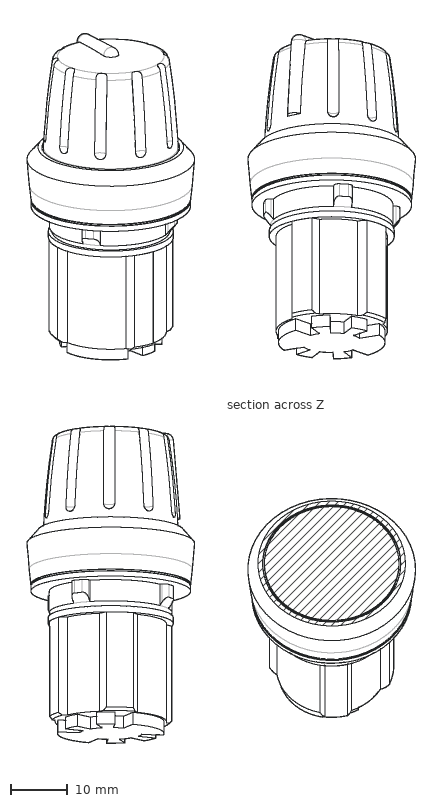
import cadquery as cq
import math

body_bottom_z = 2.13
flange_bottom_z = 19.65
flange_top_z = 20.75
collar_bottom_z = 21.65
ring_bottom_z = 25.45
ring_groove_bottom_z = 26.4
ring_groove_top_z = 26.7
ring_taper_change_z = 29.4
ring_rim_z = 34.06
ring_top_z = 36.3
groove_end_z = 38.95
knob_flank_mid_z = 45.5
knob_shoulder_z = 52.2
knob_edge_z = 53.15
knob_crown_z = 53.45
overall_height = 54.8

ring_base_r = 14.05
ring_taper_change_r = 14.35
ring_rim_r = 14.745
ring_top_r = 12.8
ring_groove_depth = 0.15
ring_bore_r = 12.1
ring_gap_depth = 0.5
knob_base_r = 11.85
knob_flank_mid_r = 11.17
knob_shoulder_r = 10.3
knob_edge_r = 9.35

collar_r = 10.8
collar_neck_r = 10.35
flange_r = 11.0
body_r = 9.8
rib_r = 10.95

grip_positions = 10
pointer_angle = 135.0
groove_r = 1.0
groove_axis_end_r = 11.7
groove_axis_shoulder_r = 10.45

pointer_r = 1.4
pointer_elbow_r = 10.05
pointer_elbow_z = 52.85
pointer_foot_r = 11.25

key_count = 4
key_tip_r = 12.0
key_width = 3.24
key_edge_r = 0.86
key_bevel_height = 1.5

rib_chamfer = 0.52
wide_rib = (37.0, 12.7, 20.0)
narrow_rib = (-39.3, 10.4, 16.5)

foot_front_r = 9.37
foot_side_r = 9.0
foot_core_r = 5.5
side_gap_half_angle = 12.3
side_segment_end_angle = 33.4
front_segment_start_angle = 52.8

half_turn = 180.0
full_turn = 2 * half_turn

overlap = 0.5


def polar(radius, angle):
    """Point in the XY plane at a radius and an angle in degrees."""
    radians = math.radians(angle)
    return (radius * math.cos(radians), radius * math.sin(radians))


def turned(profile):
    """Revolve a profile drawn as (radius, height) about the Z axis."""
    return profile.close().revolve(full_turn, (0, 0, 0), (0, 1, 0))


def spin(shape, angle):
    return shape.rotate((0, 0, 0), (0, 0, 1), angle)


def disc(radius, bottom, top):
    return cq.Workplane("XY").workplane(offset=bottom).circle(radius).extrude(top - bottom)


def rod(start, end, radius):
    """Cylinder between two points."""
    axis = cq.Vector(*end) - cq.Vector(*start)
    return cq.Workplane(cq.Solid.makeCylinder(radius, axis.Length, cq.Vector(*start), axis))


def ball(radius, centre):
    return cq.Workplane("XY").sphere(radius).translate(centre)


def make_core():
    """Flange, collar and outer ring, with a narrow open gap left around the knob."""
    groove_floor_r = ring_base_r - ring_groove_depth
    profile = (
        cq.Workplane("XZ")
        .moveTo(0, flange_bottom_z)
        .lineTo(flange_r, flange_bottom_z)
        .lineTo(flange_r, flange_top_z)
        .lineTo(collar_neck_r, flange_top_z)
        .lineTo(collar_r, collar_bottom_z)
        .lineTo(collar_r, ring_bottom_z)
        .lineTo(ring_base_r, ring_bottom_z)
        .lineTo(ring_base_r, ring_groove_bottom_z)
        .lineTo(groove_floor_r, ring_groove_bottom_z)
        .lineTo(groove_floor_r, ring_groove_top_z)
        .lineTo(ring_base_r, ring_groove_top_z)
        .lineTo(ring_taper_change_r, ring_taper_change_z)
        .lineTo(ring_rim_r, ring_rim_z)
        .lineTo(ring_top_r, ring_top_z)
        .lineTo(ring_bore_r, ring_top_z)
        .lineTo(ring_bore_r, ring_top_z - ring_gap_depth)
        .lineTo(0, ring_top_z - ring_gap_depth)
    )
    return turned(profile)


def make_knob():
    """Bulging tapered knob with a rounded shoulder and a shallow domed top."""
    bottom_z = ring_top_z - ring_gap_depth - overlap
    arc_middle = math.sin(math.pi / 4)
    shoulder_mid_r = knob_edge_r + (knob_shoulder_r - knob_edge_r) * arc_middle
    shoulder_mid_z = knob_shoulder_z + (knob_edge_z - knob_shoulder_z) * arc_middle
    dome_rise = knob_crown_z - knob_edge_z
    profile = (
        cq.Workplane("XZ")
        .moveTo(0, bottom_z)
        .lineTo(knob_base_r, bottom_z)
        .lineTo(knob_base_r, ring_top_z)
        .threePointArc((knob_flank_mid_r, knob_flank_mid_z), (knob_shoulder_r, knob_shoulder_z))
        .threePointArc((shoulder_mid_r, shoulder_mid_z), (knob_edge_r, knob_edge_z))
        .threePointArc((knob_edge_r / 2, knob_edge_z + dome_rise * 3 / 4), (0, knob_crown_z))
    )
    return turned(profile)


def make_grip_groove():
    """Round-ended cutter following the flank, running out above the knob."""
    slope = (groove_axis_shoulder_r - groove_axis_end_r) / (knob_shoulder_z - groove_end_z)
    run_out_r = groove_axis_end_r + slope * (overall_height - groove_end_z)
    end = (groove_axis_end_r, 0, groove_end_z)
    run_out = (run_out_r, 0, overall_height)
    return rod(end, run_out, groove_r).union(ball(groove_r, end))


def make_pointer():
    """Round ridge from the knob centre, over the shoulder and down the flank."""
    tip = (0, 0, overall_height - pointer_r)
    elbow = (pointer_elbow_r, 0, pointer_elbow_z)
    foot = (pointer_foot_r, 0, groove_end_z)
    ridge = ball(pointer_r, tip).union(rod(tip, elbow, pointer_r))
    ridge = ridge.union(ball(pointer_r, elbow))
    return ridge.union(rod(foot, elbow, pointer_r))


def make_key():
    """Radial key under the ring, rounded along its edges and bevelled below."""
    key_height = ring_bottom_z + overlap - collar_bottom_z
    key = (
        cq.Workplane("XY")
        .box(key_tip_r, key_width, key_height, centered=(False, True, False))
        .edges("|Z and >X")
        .fillet(key_edge_r)
        .translate((0, 0, collar_bottom_z))
    )
    bevel_slope = key_bevel_height / (key_tip_r - collar_r)
    envelope_r = key_tip_r + overlap
    bevel_top_z = collar_bottom_z + bevel_slope * (envelope_r - collar_r)
    envelope = turned(
        cq.Workplane("XZ")
        .moveTo(0, collar_bottom_z)
        .lineTo(collar_r, collar_bottom_z)
        .lineTo(envelope_r, bevel_top_z)
        .lineTo(envelope_r, ring_bottom_z + overlap)
        .lineTo(0, ring_bottom_z + overlap)
    )
    return key.intersect(envelope)


def make_ribbed_body():
    """Round body with four lengthwise ribs, wider at their roots and bevelled at the lower end."""
    top_z = flange_bottom_z + overlap
    half_set = (narrow_rib, wide_rib)
    opposite_set = tuple((centre + half_turn, tip, root) for centre, tip, root in half_set)
    ribs = half_set + opposite_set

    first_centre, _, first_root = ribs[0]
    outline_start_angle = first_centre - first_root
    recess_start_angle = outline_start_angle
    outline = (
        cq.Workplane("XY")
        .workplane(offset=body_bottom_z)
        .moveTo(*polar(body_r, outline_start_angle))
    )
    for index, (centre, tip, root) in enumerate(ribs):
        rib_start_angle = centre - root
        if index > 0:
            recess_mid_angle = (recess_start_angle + rib_start_angle) / 2
            outline = outline.threePointArc(polar(body_r, recess_mid_angle), polar(body_r, rib_start_angle))
        outline = (
            outline.lineTo(*polar(rib_r, centre - tip))
            .threePointArc(polar(rib_r, centre), polar(rib_r, centre + tip))
            .lineTo(*polar(body_r, centre + root))
        )
        recess_start_angle = centre + root
    last_mid_angle = (recess_start_angle + outline_start_angle + full_turn) / 2
    outline = outline.threePointArc(polar(body_r, last_mid_angle), polar(body_r, outline_start_angle))
    body = outline.close().extrude(top_z - body_bottom_z)

    bevel = turned(
        cq.Workplane("XZ")
        .moveTo(0, body_bottom_z)
        .lineTo(rib_r - rib_chamfer, body_bottom_z)
        .lineTo(rib_r + overlap, body_bottom_z + rib_chamfer + overlap)
        .lineTo(rib_r + overlap, top_z)
        .lineTo(0, top_z)
    )
    return body.intersect(bevel)


def make_foot_segment(radius, start_angle, end_angle):
    """Pie-shaped tooth of the foot between two angles."""
    return (
        cq.Workplane("XY")
        .lineTo(*polar(radius, start_angle))
        .threePointArc(polar(radius, (start_angle + end_angle) / 2), polar(radius, end_angle))
        .close()
        .extrude(body_bottom_z + overlap)
    )


def make_foot():
    """Core disc with two broad teeth on Y and two pairs of narrow teeth on X."""
    foot = disc(foot_core_r, 0, body_bottom_z + overlap)
    teeth = [
        make_foot_segment(foot_front_r, front_segment_start_angle, half_turn - front_segment_start_angle),
        make_foot_segment(foot_side_r, side_gap_half_angle, side_segment_end_angle),
        make_foot_segment(foot_side_r, -side_segment_end_angle, -side_gap_half_angle),
    ]
    for tooth in teeth:
        foot = foot.union(tooth).union(spin(tooth, half_turn))
    return foot


def make_grooved_knob():
    knob = make_knob()
    groove = make_grip_groove()
    pitch = full_turn / grip_positions
    for position in range(1, grip_positions):
        knob = knob.cut(spin(groove, pointer_angle + position * pitch))
    return knob.union(spin(make_pointer(), pointer_angle))


def make_part():
    part = make_core().union(make_ribbed_body()).union(make_foot())
    key = make_key()
    for index in range(key_count):
        part = part.union(spin(key, index * full_turn / key_count))
    return part.union(make_grooved_knob())


result = make_part()